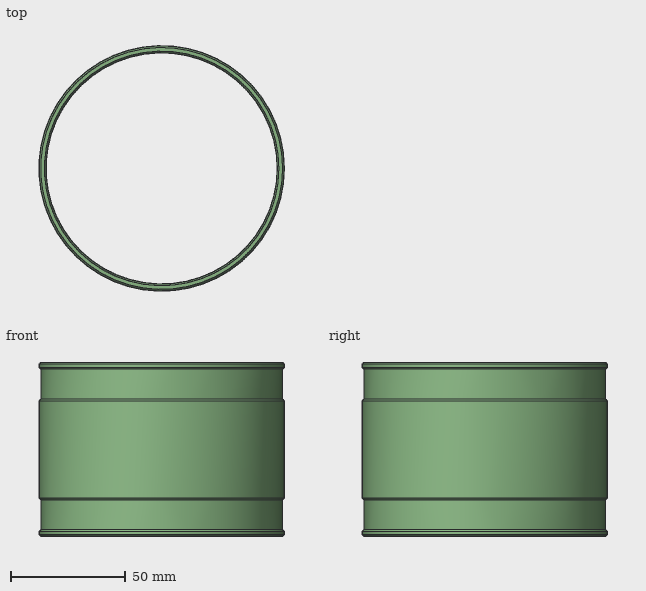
import cadquery as cq

outer_diameter = 107.4
groove_diameter = 105.8
bore_diameter = 101.1
height = 76.2
rim_height = 3.0
groove_width = 13.0
bore_chamfer = 0.8

outer_radius = outer_diameter / 2
groove_radius = groove_diameter / 2
bore_radius = bore_diameter / 2
bevel = outer_radius - groove_radius
half_height = height / 2
groove_outer_end = half_height - rim_height
band_half_height = groove_outer_end - groove_width


def upper_outline():
    """Outer (radius, z) points from the central band up to the top face."""
    return [
        (outer_radius, band_half_height - bevel),
        (groove_radius, band_half_height),
        (groove_radius, groove_outer_end),
        (outer_radius, groove_outer_end + bevel),
        (outer_radius, half_height - bevel),
        (groove_radius, half_height),
    ]


def make_sleeve():
    """Revolve the wall section, symmetric about the XY plane, around Z."""
    upper_half = upper_outline() + [
        (bore_radius + bore_chamfer, half_height),
        (bore_radius, half_height - bore_chamfer),
    ]
    lower_half = [(radius, -z) for radius, z in reversed(upper_half)]
    section = cq.Workplane("XZ").polyline(lower_half + upper_half).close()
    return section.revolve(360, (0, 0, 0), (0, 1, 0))


result = make_sleeve()